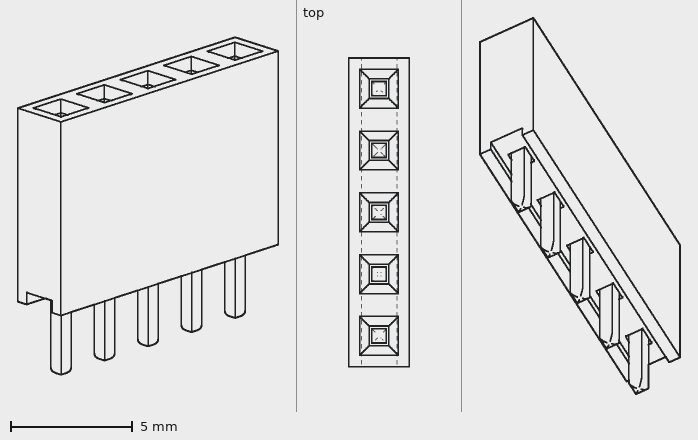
import cadquery as cq

contact_count = 5
housing_length = 12.7
contact_pitch = housing_length / contact_count
housing_width = 2.5
total_height = 11.55
housing_height = 8.41

channel_width = 1.47
channel_depth = 0.52

hole_side = 0.8
lead_in_side = 1.6
lead_in_depth = 0.41

pin_side = 0.6
pin_tip_radius = 0.27
pin_bottom = housing_height - total_height
pin_top = housing_height / 2

contact_positions = [
    (index - (contact_count - 1) / 2) * contact_pitch for index in range(contact_count)
]


def make_socket_cutter(y):
    """Square through hole with a lead-in that widens toward the top face."""
    hole = cq.Workplane("XY").center(0, y).rect(hole_side, hole_side).extrude(housing_height)
    lead_in = (
        cq.Workplane("XY", origin=(0, y, housing_height - lead_in_depth))
        .rect(hole_side, hole_side)
        .workplane(offset=lead_in_depth)
        .rect(lead_in_side, lead_in_side)
        .loft(ruled=True)
    )
    return hole.union(lead_in)


def make_housing():
    """Block with an open-ended channel underneath and a row of sockets."""
    housing = cq.Workplane("XY").box(
        housing_width, housing_length, housing_height, centered=(True, True, False)
    )
    channel = cq.Workplane("XY").box(
        channel_width, housing_length, channel_depth, centered=(True, True, False)
    )
    housing = housing.cut(channel)
    for y in contact_positions:
        housing = housing.cut(make_socket_cutter(y))
    return housing


def make_pin(y):
    """Square pin with its four bottom edges rounded."""
    return (
        cq.Workplane("XY", origin=(0, y, pin_bottom))
        .rect(pin_side, pin_side)
        .extrude(pin_top - pin_bottom)
        .faces("<Z")
        .edges()
        .fillet(pin_tip_radius)
    )


housing = make_housing()
pins = [make_pin(y) for y in contact_positions]

result = cq.Compound.makeCompound([housing.val(), *[pin.val() for pin in pins]])